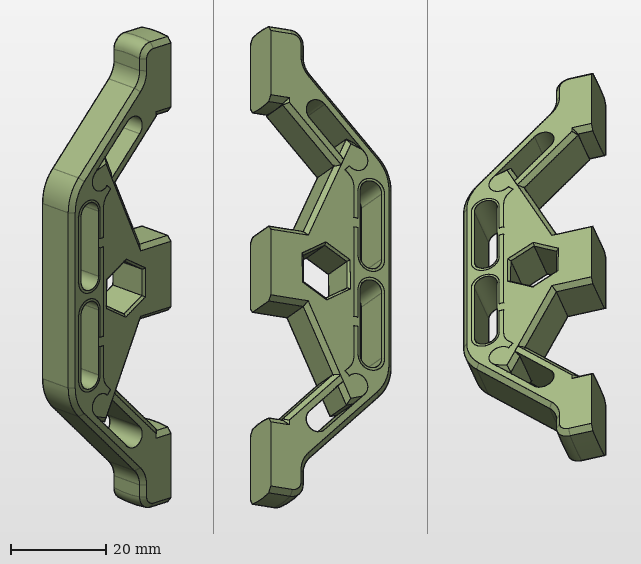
import cadquery as cq
import math


thickness = 10.0
height = 104.2
depth = 28.5
bevel = 1.0

foot_depth = 8.0
foot_height = 17.2
foot_crown = 0.4
foot_corner_radius = 3.0
foot_neck_radius = 5.0
ledge_depth = 3.2
spine_width = 10.2
spine_bend_z = 23.7
outer_bend_radius = 10.0
inner_bend_radius = 2.5

arm_slot_width = 5.0
arm_slot_outer_z = 34.4
arm_slot_inner_z = 25.1
spine_slot_width = 6.1
spine_slot_near_z = 3.8
spine_slot_far_z = 18.2

hub_center_z = -0.8
hub_height = 16.7
hub_neck_depth = 8.0
wing_tip_depth = 18.0
wing_tip_z = 29.6
wing_end_depth = 25.3
wing_end_z = 27.1
hex_depth = 12.87
hex_flats = 10.1
hex_bevel = 0.5
hex_turn = 1.0
liner_opening = 5.0
liner_shift = 0.1
bridge_width = 2.1

half_height = height / 2
foot_inner_z = half_height - foot_height
spine_inner_depth = depth - spine_width
spine_middle_depth = depth - spine_width / 2
arm_outer_sum = depth + spine_bend_z
arm_inner_sum = ledge_depth + foot_inner_z
arm_middle_sum = (arm_outer_sum + arm_inner_sum) / 2
seat_depth = spine_inner_depth + bevel
seat_sum = arm_inner_sum + bevel * math.sqrt(2)
seat_bend_radius = inner_bend_radius + bevel
corner_reach = 0.3
tolerance = 0.01


def mirrored(points):
    """Upper half of an outline followed by its mirror image below Z = 0."""
    return points + [(d, -z) for d, z in reversed(points)]


def prism(points):
    """Closed (depth, z) outline extruded to the full thickness, centred on X = 0."""
    outline = [(-d, z) for d, z in points]
    return cq.Workplane("YZ").polyline(outline).close().extrude(thickness / 2, both=True)


def round_corners(body, radius, corner):
    """Fillet the crosswise edges at a (depth, z) corner and at its mirror image."""
    def at_corner(edge):
        center = edge.Center()
        return math.dist((-center.y, abs(center.z)), corner) < corner_reach
    return body.edges().filter(at_corner).fillet(radius)


def bevel_sides(body, size, nearest, farthest):
    """Chamfer the edges of both flat sides whose depth lies between two limits."""
    def in_range(edge):
        return nearest < -edge.Center().y < farthest
    return body.faces("|X").edges().filter(in_range).chamfer(size)


def slot_prism(start, end, width):
    """Round-ended slot between two (depth, z) centres, through the full thickness."""
    angle = math.degrees(math.atan2(end[1] - start[1], start[0] - end[0]))
    return (
        cq.Workplane("YZ")
        .center(-(start[0] + end[0]) / 2, (start[1] + end[1]) / 2)
        .slot2D(math.dist(start, end) + width, width, angle)
        .extrude(thickness / 2, both=True)
    )


def arm_slot(side):
    """Slot along the middle of the upper (side = 1) or lower (side = -1) arm."""
    inner_end = (arm_middle_sum - arm_slot_inner_z, side * arm_slot_inner_z)
    outer_end = (arm_middle_sum - arm_slot_outer_z, side * arm_slot_outer_z)
    return slot_prism(inner_end, outer_end, arm_slot_width)


def spine_slot(side, width):
    """Slot of a given width along the upper or lower half of the spine."""
    near_end = (spine_middle_depth, side * spine_slot_near_z)
    far_end = (spine_middle_depth, side * spine_slot_far_z)
    return slot_prism(near_end, far_end, width)


def build_crown_envelope():
    """Block whose top and bottom are arched across the thickness to crown the foot ends."""
    shoulder_z = half_height - foot_crown
    return (
        cq.Workplane("XZ")
        .moveTo(-thickness / 2, -shoulder_z)
        .threePointArc((0, -half_height), (thickness / 2, -shoulder_z))
        .lineTo(thickness / 2, shoulder_z)
        .threePointArc((0, half_height), (-thickness / 2, shoulder_z))
        .close()
        .extrude(depth)
    )


def build_ledge_hollow(side):
    """Material removed to crown the inner end of a foot."""
    ledge_z = side * foot_inner_z
    shoulder_z = side * (foot_inner_z + foot_crown)
    open_z = side * (foot_inner_z - foot_crown)
    return (
        cq.Workplane("XZ")
        .moveTo(-thickness / 2, shoulder_z)
        .threePointArc((0, ledge_z), (thickness / 2, shoulder_z))
        .lineTo(thickness / 2, open_z)
        .lineTo(-thickness / 2, open_z)
        .close()
        .extrude(ledge_depth)
    )


def build_blank_bar():
    """Bent bar with its feet and slots, before the hub's seat is cut."""
    foot_corner = (foot_depth, half_height)
    foot_neck = (foot_depth, arm_outer_sum - foot_depth)
    outer_bend = (depth, spine_bend_z)
    inner_bend = (spine_inner_depth, arm_inner_sum - spine_inner_depth)
    outer_side = mirrored([(0, half_height), foot_corner, foot_neck, outer_bend])
    inner_side = mirrored([(0, foot_inner_z), (ledge_depth, foot_inner_z), inner_bend])
    bar = prism(outer_side + inner_side[::-1]).intersect(build_crown_envelope())
    for side in (1, -1):
        bar = bar.cut(build_ledge_hollow(side))
    bar = round_corners(bar, foot_corner_radius, foot_corner)
    bar = round_corners(bar, foot_neck_radius, foot_neck)
    bar = round_corners(bar, outer_bend_radius, outer_bend)
    bar = round_corners(bar, inner_bend_radius, inner_bend)
    bar = bevel_sides(bar, bevel, tolerance, depth + tolerance)
    for side in (1, -1):
        bar = bar.cut(arm_slot(side)).cut(spine_slot(side, spine_slot_width))
    return bar


def build_hub_region():
    """Space open to the hub: inside the bend, in the arm slots, and a notch into each slot."""
    bend = (seat_depth, seat_sum - seat_depth)
    region = prism(mirrored([(0, seat_sum), bend]))
    region = round_corners(region, seat_bend_radius, bend)
    notch_reach = (arm_middle_sum - seat_sum) / 2
    for side in (1, -1):
        inner_end = (arm_middle_sum - arm_slot_inner_z, side * arm_slot_inner_z)
        outer_end = (arm_middle_sum - arm_slot_outer_z, side * arm_slot_outer_z)
        notch = prism([
            inner_end,
            outer_end,
            (outer_end[0] - notch_reach, outer_end[1] - side * notch_reach),
            (inner_end[0] - notch_reach, inner_end[1] - side * notch_reach),
        ])
        region = region.union(notch).union(arm_slot(side))
    return region


def build_liner(side):
    """Open ring that lines one spine slot, with the bridge that joins it to the hub."""
    bridge_z = side * (spine_slot_near_z + spine_slot_far_z) / 2
    bridge = prism([
        (seat_depth - bevel, bridge_z - bridge_width / 2),
        (spine_middle_depth, bridge_z - bridge_width / 2),
        (spine_middle_depth, bridge_z + bridge_width / 2),
        (seat_depth - bevel, bridge_z + bridge_width / 2),
    ])
    liner = spine_slot(side, spine_slot_width).union(bridge)
    opening = spine_slot(side, liner_opening).translate((0, liner_shift, 0))
    return liner.cut(opening)


def build_hub():
    """Winged plate with a hexagonal bore, a lug in each arm slot and a liner in each spine slot."""
    neck_top = (hub_neck_depth, hub_center_z + hub_height / 2)
    neck_bottom = (hub_neck_depth, hub_center_z - hub_height / 2)
    tip = (wing_tip_depth, wing_tip_z)
    wing_end = (wing_end_depth, wing_end_z)
    wings = mirrored([tip, wing_end])
    hub = prism([(0, neck_top[1]), neck_top] + wings + [neck_bottom, (0, neck_bottom[1])])
    hub = bevel_sides(hub, bevel, tolerance, wing_end[0] - tolerance)
    hub = hub.intersect(build_hub_region())
    for side in (1, -1):
        hub = hub.union(build_liner(side))

    hex_corners = hex_flats / math.cos(math.pi / 6)
    bore = (
        cq.Workplane("YZ")
        .center(-hex_depth, hub_center_z)
        .transformed(rotate=(0, 0, 30 - hex_turn))
        .polygon(6, hex_corners)
        .extrude(thickness / 2, both=True)
    )
    hub = hub.cut(bore)

    def on_hex_mouth(edge):
        center = edge.Center()
        from_axis = math.dist((-center.y, center.z), (hex_depth, hub_center_z))
        return from_axis < hex_flats / 2 + tolerance
    return hub.faces("|X").edges().filter(on_hex_mouth).chamfer(hex_bevel)


hub = build_hub()
bar = build_blank_bar().cut(hub)

result = cq.Compound.makeCompound([*bar.solids().vals(), *hub.solids().vals()])